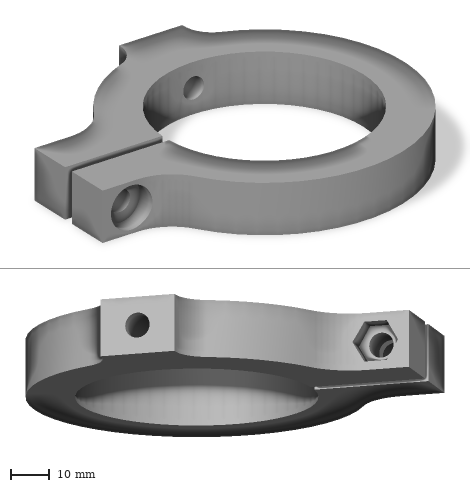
import cadquery as cq
import math

thickness = 15.0
outer_radius = 44.0
bore_radius = 31.3

lug_width = 30.0
lug_end = 62.0
slot_width = 3.0
lug_fillet = 15.0

pad_width = 20.0
pad_end = 50.0
pad_fillet = 9.0

hole_diameter = 6.6
screw_y = -53.0
hex_flats = 10.5
hex_depth = 5.0
head_diameter = 12.7
head_depth = hex_depth
hex_corners = hex_flats / math.cos(math.pi / 6)


def arm(half_width, end, fillet):
    """Arm along +X whose sides blend into the ring through concave arcs."""
    centre_y = half_width + fillet
    centre_distance = outer_radius + fillet
    centre_x = math.sqrt(centre_distance**2 - centre_y**2)
    ring_ratio = outer_radius / centre_distance
    ring_x = centre_x * ring_ratio
    ring_y = centre_y * ring_ratio
    return (
        cq.Workplane("XY")
        .moveTo(0, 0)
        .lineTo(ring_x, -ring_y)
        .radiusArc((centre_x, -half_width), fillet)
        .lineTo(end, -half_width)
        .lineTo(end, half_width)
        .lineTo(centre_x, half_width)
        .radiusArc((ring_x, ring_y), fillet)
        .close()
        .extrude(thickness)
    )


def rotate_about_z(body, angle):
    return body.rotate((0, 0, 0), (0, 0, 1), angle)


ring = cq.Workplane("XY").circle(outer_radius).extrude(thickness)
lugs = rotate_about_z(arm(lug_width / 2, lug_end, lug_fillet), -90)
pad = rotate_about_z(arm(pad_width / 2, pad_end, pad_fillet), 180)
body = ring.union(lugs).union(pad)

bore = cq.Workplane("XY").circle(bore_radius).extrude(thickness)
bore = rotate_about_z(bore, -90)
slot = cq.Workplane("XY").box(slot_width, lug_end, thickness, centered=(True, False, False))
body = body.cut(bore).cut(slot.translate((0, -lug_end, 0)))

mid_z = thickness / 2
screw_plane = cq.Workplane("YZ").center(screw_y, mid_z)
clamp_hole = screw_plane.circle(hole_diameter / 2).extrude(outer_radius, both=True)
nut_pocket = (
    cq.Workplane("YZ", origin=(-lug_width / 2 + hex_depth, 0, 0))
    .center(screw_y, mid_z)
    .polygon(6, hex_corners)
    .extrude(-outer_radius)
)

head_recess = (
    cq.Workplane("YZ", origin=(lug_width / 2 - head_depth, 0, 0))
    .center(screw_y, mid_z)
    .circle(head_diameter / 2)
    .extrude(outer_radius)
)

pad_hole = cq.Workplane("YZ").center(0, mid_z).circle(hole_diameter / 2).extrude(-pad_end)

result = body.cut(clamp_hole).cut(nut_pocket).cut(head_recess).cut(pad_hole)